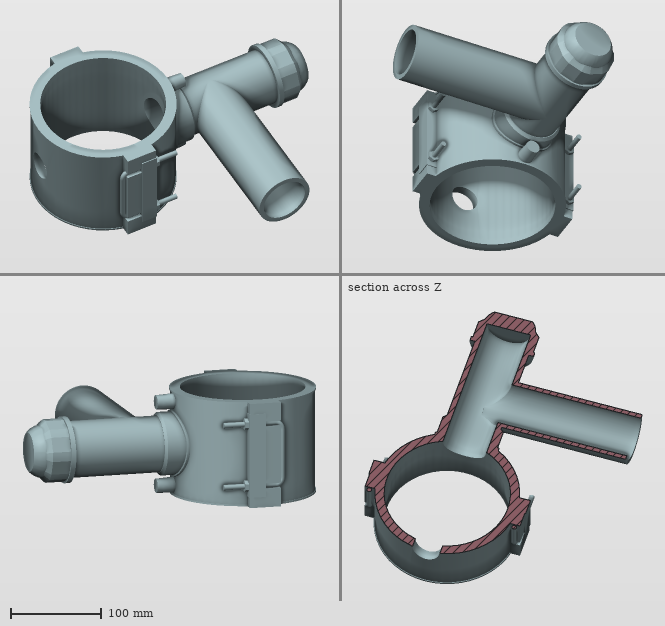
import cadquery as cq
import math

overall_length = 328.5

ring_height = 118.0
ring_bore_radius = 69.5
ring_outer_radius = 80.5
lip_radius = 81.5
lip_height = 2.0
drain_diameter = 31.2

ear_reach = 90.0
ear_depth = 17.7
plate_thickness = 1.0
plate_height = 94.3

rod_diameter = 6.0
leg_x = 84.0
leg_z = 35.0
leg_end_y = 46.5
bend_radius = 8.0
crossbar_gap = 0.15
crossbar_y = -ear_depth - crossbar_gap - rod_diameter / 2
nut_flats = 11.2
nut_height = 4.3

pipe_diameter = 63.0
main_bore_diameter = 50.2
branch_bore_diameter = 52.0
branch_y = 133.3
branch_end_x = 175.0

collar_diameter = 70.5
collar_end_y = 99.2
collar_chamfer = 3.0
weld_diameter = 74.2
weld_thickness = 2.5

stud_z = 47.3
stud_tip_y = 100.0
stud_root_y = 78.8
stud_tip_diameter = 15.8
stud_root_diameter = 18.0

cap_start_y = 202.5
cap_flange_diameter = 74.2
cap_flange_length = 5.5
cap_grip_diameter = 70.5
cap_flats = 8
cap_shoulder_y = 229.0
cap_chamfer = 6.2
cap_end_y = overall_length - lip_radius
dome_base_y = 233.0
dome_base_radius = 29.5
dome_middle_y = 239.5
dome_middle_radius = 28.0
dome_end_radius = 22.0


def rod_y(diameter, start_y, end_y):
    """Round bar about the Y axis."""
    plane = cq.Plane(origin=(0, start_y, 0), xDir=(1, 0, 0), normal=(0, 1, 0))
    return cq.Workplane(plane).circle(diameter / 2).extrude(end_y - start_y)


def upright(radius, height):
    """Cylinder about Z, centred on the origin."""
    return cq.Workplane("XY").circle(radius).extrude(height / 2, both=True)


def block(x_range, y_range, height):
    """Box between two X and two Y places, centred in Z."""
    width = x_range[1] - x_range[0]
    depth = y_range[1] - y_range[0]
    centre = (sum(x_range) / 2, sum(y_range) / 2, 0)
    return cq.Workplane("XY").box(width, depth, height).translate(centre)


def clamp_body():
    """Solid drum with end lips and both ears; the bore is cut later."""
    body = upright(ring_outer_radius, ring_height)
    lip = cq.Workplane("XY").circle(lip_radius).extrude(lip_height)
    body = body.union(lip.translate((0, 0, ring_height / 2 - lip_height)))
    body = body.union(lip.translate((0, 0, -ring_height / 2)))
    return body.union(block((-ear_reach, ear_reach), (-ear_depth, ear_depth), ring_height))


def ear_slots():
    """Slots in the front half of the +X ear, open outwards, for the bolt legs."""
    slots = cq.Workplane("XY")
    for z in (-leg_z, leg_z):
        slot = block((leg_x, ear_reach), (-ear_depth, 0), rod_diameter).translate((0, 0, z))
        slots = slots.add(slot)
    return slots.combine()


def ear_hardware():
    """Angle plate, nuts and U-bolt on the +X ear."""
    plate_top = ear_depth + plate_thickness
    plate_root_x = (ring_bore_radius + ring_outer_radius) / 2
    hardware = block((plate_root_x, ear_reach + plate_thickness), (0, plate_top), plate_height)

    bend_start_y = crossbar_y + bend_radius
    bend_z = leg_z - bend_radius
    arc_offset = bend_radius * math.sqrt(0.5)
    path = (
        cq.Workplane("YZ", origin=(leg_x, 0, 0))
        .moveTo(leg_end_y, leg_z)
        .lineTo(bend_start_y, leg_z)
        .threePointArc((bend_start_y - arc_offset, bend_z + arc_offset), (crossbar_y, bend_z))
        .lineTo(crossbar_y, -bend_z)
        .threePointArc((bend_start_y - arc_offset, -bend_z - arc_offset), (bend_start_y, -leg_z))
        .lineTo(leg_end_y, -leg_z)
    )
    section = cq.Workplane("XZ", origin=(leg_x, leg_end_y, leg_z)).circle(rod_diameter / 2)
    hardware = hardware.union(section.sweep(path))

    nut_corners = nut_flats / math.cos(math.pi / 6)
    for z in (-leg_z, leg_z):
        plane = cq.Plane(origin=(leg_x, plate_top, z), xDir=(0, 0, 1), normal=(0, 1, 0))
        hardware = hardware.union(cq.Workplane(plane).polygon(6, nut_corners).extrude(nut_height))
    return hardware


def collar():
    """Chamfered socket on the ring, with a weld bead that follows the ring."""
    socket = rod_y(collar_diameter, 0, collar_end_y).faces(">Y").chamfer(collar_chamfer)
    bead = rod_y(weld_diameter, 0, collar_end_y)
    bead = bead.intersect(upright(ring_outer_radius + weld_thickness, ring_height))
    return socket.union(bead)


def stud(z):
    """Tapered terminal stud rising from the ring."""
    plane = cq.Plane(origin=(0, stud_root_y, z), xDir=(1, 0, 0), normal=(0, 1, 0))
    return (
        cq.Workplane(plane)
        .circle(stud_root_diameter / 2)
        .workplane(offset=stud_tip_y - stud_root_y)
        .circle(stud_tip_diameter / 2)
        .loft(ruled=True)
    )


def end_cap():
    """Flange, eight-sided grip with rounded corners and domed end."""
    flange_end_y = cap_start_y + cap_flange_length
    cap = rod_y(cap_flange_diameter, cap_start_y, flange_end_y)

    grip_end_y = cap_shoulder_y + cap_chamfer
    octagon = (
        cq.Workplane("XZ", origin=(0, flange_end_y, 0))
        .polygon(cap_flats, cap_flange_diameter)
        .extrude(flange_end_y - grip_end_y)
    )
    grip = octagon.intersect(rod_y(cap_grip_diameter, flange_end_y, grip_end_y))
    cap = cap.union(grip.faces(">Y").chamfer(cap_chamfer))

    dome = (
        cq.Workplane("XY")
        .moveTo(0, cap_shoulder_y)
        .lineTo(dome_base_radius, cap_shoulder_y)
        .lineTo(dome_base_radius, dome_base_y)
        .threePointArc((dome_middle_radius, dome_middle_y), (dome_end_radius, cap_end_y))
        .lineTo(0, cap_end_y)
        .close()
        .revolve(360, (0, 0, 0), (0, 1, 0))
    )
    return cap.union(dome)


branch = cq.Workplane("YZ").center(branch_y, 0)
body = clamp_body().cut(ear_slots()).cut(ear_slots().mirror("YZ"))
body = body.union(collar())
body = body.union(rod_y(pipe_diameter, 0, cap_start_y))
body = body.union(branch.circle(pipe_diameter / 2).extrude(branch_end_x))
body = body.union(end_cap())
for z in (-stud_z, stud_z):
    body = body.union(stud(z))
hardware = ear_hardware()
body = body.union(hardware).union(hardware.mirror("YZ"))

body = body.cut(upright(ring_bore_radius, ring_height))
body = body.cut(rod_y(main_bore_diameter, 0, cap_shoulder_y))
body = body.cut(branch.circle(branch_bore_diameter / 2).extrude(branch_end_x))
body = body.cut(rod_y(drain_diameter, -lip_radius, 0))

result = body